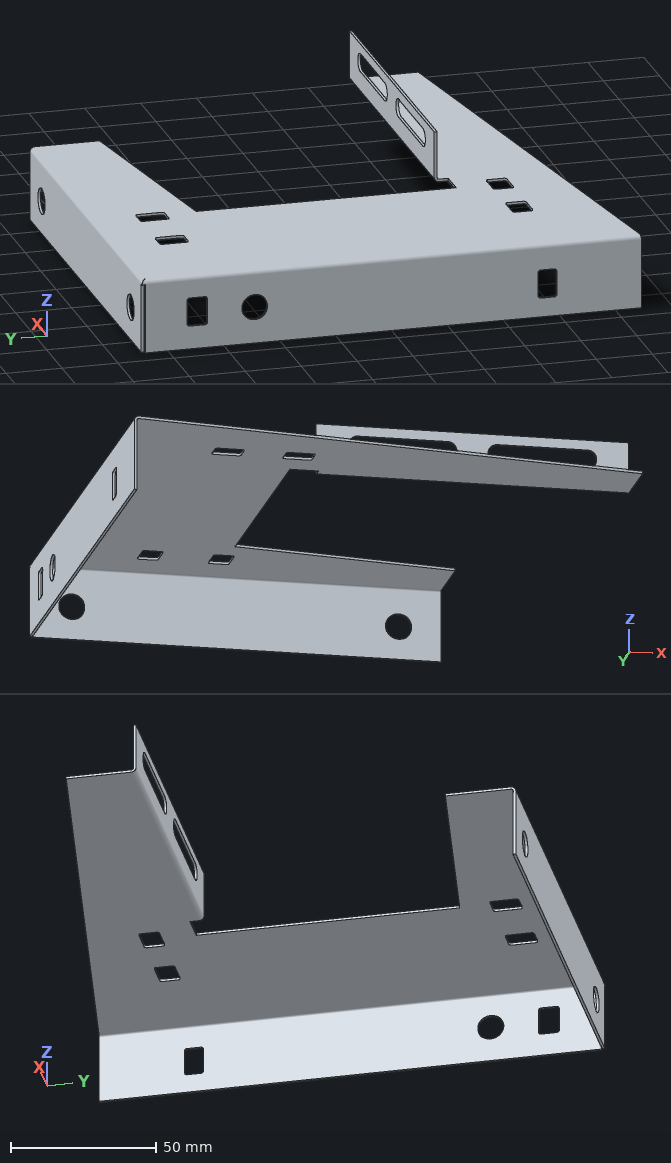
import cadquery as cq

length = 185.0
width = 178.7
height = 44.0
thickness = 1.0
inner_bend = 0.7
flange_gap = 0.2
outer_bend = thickness + inner_bend

plate_top = 26.6
plate_bottom = plate_top - thickness
back_arm_length = 145.0
back_arm_end_width = 25.0
recess_x = 65.0
recess_back_y = width - 37.4
notch_y = width - 130.2
tab_x = 75.0
tab_y = width - 125.2
front_arm_end_y = width - 150.0

corner_radius = 1.0
hole_diameter = 9.0
window_short = 7.2
window_long = 10.2
window_left_edges = (34.8, 59.8)
back_window_y = width - 21.3
front_window_y = width - 146.0
back_hole_centers = ((15.0, 11.8), (130.0, 11.8))
left_hole_center = (width - 40.3, 13.1)
left_window_rear = (width - 19.8, 13.5)
left_window_rear_width = 7.2
left_window_front = (width - 145.0, 12.0)
left_window_front_width = 6.7
tab_slot_centers = (105.5, 154.7)
tab_slot_length = 38.1
tab_slot_height = 6.5
tab_slot_z = height - 6.8


def bent_sheet():
    """Top plate, left flange and back flange with rounded bends."""
    outside = cq.Workplane("XY").box(length, width, plate_top, centered=False)
    outside = outside.edges("(<X and >Z) or (>Y and >Z)").fillet(outer_bend)
    inside = (
        cq.Workplane("XY")
        .box(length, width, plate_bottom, centered=False)
        .edges("(<X and >Z) or (>Y and >Z)")
        .fillet(inner_bend)
        .translate((thickness, -thickness, 0))
    )
    return outside.cut(inside)


def outline():
    """Tall block with the two-armed outline of the plate."""
    return (
        cq.Workplane("XY")
        .polyline([
            (0, 0),
            (length, front_arm_end_y),
            (length, tab_y - outer_bend),
            (tab_x, tab_y - outer_bend),
            (tab_x, notch_y),
            (recess_x, notch_y),
            (recess_x, recess_back_y),
            (back_arm_length, width - back_arm_end_width),
            (back_arm_length, width),
            (0, width),
        ])
        .close()
        .extrude(height)
    )


def tab():
    """Upright tab and its bend along the inside of the front arm."""
    bend_y = tab_y - outer_bend
    return (
        cq.Workplane("YZ", origin=(tab_x, 0, 0))
        .moveTo(bend_y, plate_bottom)
        .radiusArc((tab_y, plate_bottom + outer_bend), -outer_bend)
        .lineTo(tab_y, height)
        .lineTo(tab_y - thickness, height)
        .lineTo(tab_y - thickness, plate_top + inner_bend)
        .radiusArc((bend_y, plate_top), inner_bend)
        .close()
        .extrude(length - tab_x)
    )


def corner_gap():
    """Vertical gap that separates the two hanging flanges."""
    depth = thickness + flange_gap
    return (
        cq.Workplane("XY")
        .box(thickness, depth, plate_top - outer_bend, centered=False)
        .translate((0, width - depth, 0))
    )


def plate_window(left_edge, center_y, size_x, size_y):
    return (
        cq.Workplane("XY")
        .box(size_x, size_y, height)
        .edges("|Z")
        .fillet(corner_radius)
        .translate((left_edge + size_x / 2, center_y, plate_top))
    )


def left_window(center, size_y):
    return (
        cq.Workplane("XY")
        .box(2 * outer_bend, size_y, window_long)
        .edges("|X")
        .fillet(corner_radius)
        .translate((0, *center))
    )


result = bent_sheet().intersect(outline()).union(tab()).cut(corner_gap())

for left_edge in window_left_edges:
    result = result.cut(plate_window(left_edge, back_window_y, window_short, window_long))
    result = result.cut(plate_window(left_edge, front_window_y, window_long, window_short))

result = result.cut(left_window(left_window_rear, left_window_rear_width))
result = result.cut(left_window(left_window_front, left_window_front_width))

left_hole = cq.Workplane("YZ").center(*left_hole_center).circle(hole_diameter / 2).extrude(outer_bend)
back_holes = (
    cq.Workplane("XZ", origin=(0, width, 0))
    .pushPoints(back_hole_centers)
    .circle(hole_diameter / 2)
    .extrude(outer_bend)
)
tab_slots = (
    cq.Workplane("XZ", origin=(0, tab_y, 0))
    .pushPoints([(x, tab_slot_z) for x in tab_slot_centers])
    .slot2D(tab_slot_length, tab_slot_height)
    .extrude(outer_bend)
)
result = result.cut(left_hole).cut(back_holes).cut(tab_slots)